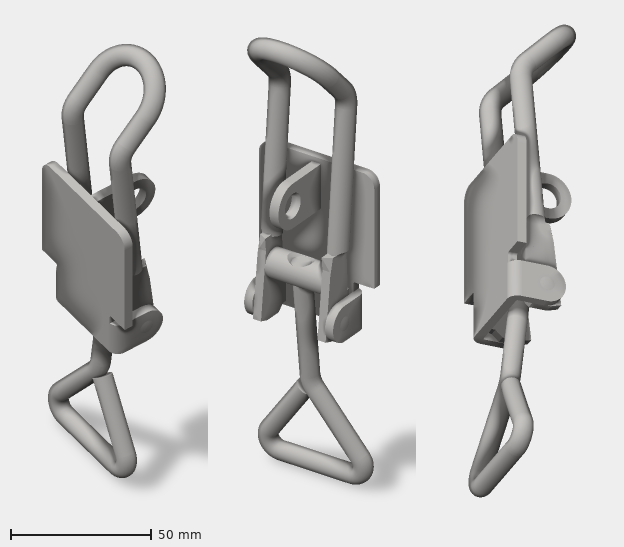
import cadquery as cq
import math

total_height = 185.0

sheet = 3.5
plate_width = 50.0
plate_top = 64.2
plate_bottom = 18.5
plate_corner_radius = 5.2
neck_width = 31.8
neck_corner_radius = 1.0
ear_span = 38.5
ear_height = 14.5
ear_radius = ear_height / 2
ear_reach = 21.0
fold_inner_radius = 0.5
fold_outer_radius = fold_inner_radius + sheet
ear_inner_x = ear_span / 2 - sheet

lug_thickness = 3.9
lug_radius = 9.0
lug_hole_radius = 5.0
lug_eye_y = 21.3
lug_eye_z = 53.1

rivet_radius = 2.8
rivet_y = ear_reach - ear_radius
rivet_z = ear_radius
rivet_dome = 0.2

pivot_y = 12.5
pivot_z = 22.0
barrel_radius = 5.7
trunnion_radius = 2.8
countersink_radius = 5.4

wire_radius = 8.0 / 2
leg_spacing = 28.7
loop_radius = leg_spacing / 2
leg_end = (11.0, 32.7)
leg_bend = (5.4, 95.3)
loop_apex = (27.0, 117.7)
leg_bend_radius = 9.3
cheek_outer_x = ear_inner_x
cheek_thickness = sheet
cheek_inner_x = cheek_outer_x - cheek_thickness
cheek_outline = [
    (18.1, 33.9),
    (17.5, 28.7),
    (20.7, 1.5),
    (16.7, 0.2),
    (9.6, 0.2),
    (6.8, 2.8),
    (6.8, 18.5),
    (7.5, 33.9),
]
cheek_bevel_width = 2.0
cheek_bevel_height = 8.3
shoulder_z = 35.0
shoulder_radius = 2.2
tab_front = 4.8
tab_back = 7.2
tab_top = 16.7
tab_bottom = 2.8
tab_width = cheek_thickness
tab_fold_radius = 2.2

rod_radius = 3.7
rod_tilt = 6.4
rod_top = barrel_radius - (countersink_radius - rod_radius)
apex_drop = 47.2
bar_z = loop_apex[1] + wire_radius - total_height + rod_radius
bar_drop = (pivot_z - bar_z) / math.cos(math.radians(rod_tilt))
handle_half_angle = 36.2
handle_bend_radius = 5.2
apex_bend_radius = 10.2


shortest_line = 1.85e-06


def bent_wire(corners, bend_radii, radius):
    """Round wire along straight lines between corners, with an arc at each inner corner."""
    points = [cq.Vector(corner) for corner in corners]
    edges = []
    start = points[0]
    for before, corner, after, bend in zip(points, points[1:], points[2:], bend_radii):
        back = (before - corner).normalized()
        ahead = (after - corner).normalized()
        half_angle = back.getAngle(ahead) / 2
        tangent_length = bend / math.tan(half_angle)
        arc_start = corner + back * tangent_length
        arc_end = corner + ahead * tangent_length
        arc_depth = bend / math.sin(half_angle) - bend
        arc_middle = corner + (back + ahead).normalized() * arc_depth
        if (arc_start - start).Length > shortest_line:
            edges.append(cq.Edge.makeLine(start, arc_start))
        edges.append(cq.Edge.makeThreePointArc(arc_start, arc_middle, arc_end))
        start = arc_end
    if (points[-1] - start).Length > shortest_line:
        edges.append(cq.Edge.makeLine(start, points[-1]))
    path = cq.Workplane(cq.Wire.assembleEdges(edges))
    end_plane = cq.Plane(origin=points[0].toTuple(), normal=(points[1] - points[0]).toTuple())
    return cq.Workplane(end_plane).circle(radius).sweep(path)


def cylinder_along_x(radius, x_start, x_end, y, z):
    return cq.Workplane("YZ", origin=(x_start, y, z)).circle(radius).extrude(x_end - x_start)


def block(x_range, y_range, z_range):
    """Box between the given limits."""
    corner = (x_range[0], y_range[0], z_range[0])
    size = [limits[1] - limits[0] for limits in (x_range, y_range, z_range)]
    return cq.Workplane().box(*size, centered=False).translate(corner)


def make_base():
    wide = block((-plate_width / 2, plate_width / 2), (0, sheet), (plate_bottom, plate_top))
    wide = wide.edges("|Y and >Z").fillet(plate_corner_radius)
    neck = block((-neck_width / 2, neck_width / 2), (0, sheet), (ear_height, plate_bottom))
    plate = wide.union(neck)
    for side in (-1, 1):
        notch_corner = cq.selectors.NearestToPointSelector((side * neck_width / 2, sheet / 2, plate_bottom))
        plate = plate.edges(notch_corner).fillet(neck_corner_radius)

    channel = block((-ear_span / 2, ear_span / 2), (0, ear_reach), (0, ear_height))
    channel = channel.edges("|Z and <Y").fillet(fold_outer_radius)
    inside = block((-ear_inner_x, ear_inner_x), (sheet, ear_reach), (0, ear_height))
    inside = inside.edges("|Z and <Y").fillet(fold_inner_radius)
    ear_profile = (
        cq.Workplane("YZ", origin=(-ear_span / 2, 0, 0))
        .lineTo(rivet_y, 0)
        .threePointArc((ear_reach, rivet_z), (rivet_y, ear_height))
        .lineTo(0, ear_height)
        .close()
        .extrude(ear_span)
    )
    channel = channel.cut(inside).intersect(ear_profile)
    rivet_holes = cylinder_along_x(rivet_radius, -ear_span, ear_span, rivet_y, rivet_z)
    return plate.union(channel).cut(rivet_holes)


def make_lug():
    return (
        cq.Workplane("YZ", origin=(-lug_thickness / 2, 0, 0))
        .moveTo(sheet, lug_eye_z - lug_radius)
        .lineTo(lug_eye_y, lug_eye_z - lug_radius)
        .threePointArc((lug_eye_y + lug_radius, lug_eye_z), (lug_eye_y, lug_eye_z + lug_radius))
        .lineTo(sheet, lug_eye_z + lug_radius)
        .close()
        .extrude(lug_thickness)
        .cut(cylinder_along_x(lug_hole_radius, -lug_thickness, lug_thickness, lug_eye_y, lug_eye_z))
    )


def make_cheek():
    """Flattened end of the lever on the +X side, with its tab and its two pivot holes."""
    cheek = (
        cq.Workplane("YZ", origin=(cheek_inner_x, 0, 0))
        .polyline(cheek_outline)
        .close()
        .extrude(cheek_thickness)
    )
    top_y, top_z = cheek_outline[0]
    bevel_tip = cq.Vector(cheek_outer_x, top_y, top_z - cheek_bevel_height)
    top_outer = cq.Vector(cheek_outer_x, top_y - cheek_bevel_width, top_z)
    top_inner = cq.Vector(cheek_inner_x, top_y, top_z)
    bevel_normal = (top_outer - bevel_tip).cross(top_inner - bevel_tip)
    if bevel_normal.x < 0:
        bevel_normal = bevel_normal * -1
    bevel_plane = cq.Plane(origin=bevel_tip.toTuple(), normal=bevel_normal.toTuple())
    bevel_size = 3 * cheek_bevel_height
    cheek = cheek.cut(cq.Workplane(bevel_plane).rect(bevel_size, bevel_size).extrude(bevel_size))

    tab = block(
        (cheek_outer_x - tab_width, cheek_outer_x), (tab_front, tab_back), (tab_bottom, tab_top)
    )
    tab = tab.edges("|Z and >X and <Y").fillet(tab_fold_radius)
    cheek = cheek.union(tab)
    cheek = cheek.cut(cylinder_along_x(rivet_radius, 0, ear_span, rivet_y, rivet_z))
    return cheek.cut(cylinder_along_x(trunnion_radius, 0, ear_span, pivot_y, pivot_z))


def make_lever():
    left_leg = [(-loop_radius, *point) for point in (leg_end, leg_bend, loop_apex)]
    right_leg = [(loop_radius, *point) for point in (loop_apex, leg_bend, leg_end)]
    bends = [leg_bend_radius, loop_radius, loop_radius, leg_bend_radius]
    loop = bent_wire(left_leg + right_leg, bends, wire_radius)
    flattening = block((cheek_outer_x, plate_width), (-plate_width, plate_width), (0, shoulder_z))
    flattening = flattening.edges("|Y and <X and >Z").fillet(shoulder_radius)
    cheek = make_cheek()
    return (
        loop.cut(flattening)
        .cut(flattening.mirror("YZ"))
        .union(cheek)
        .union(cheek.mirror("YZ"))
    )


def make_rivet(side):
    """Domed rivet through one ear and one cheek; side is -1 or 1."""
    head_x = ear_span / 2
    rivet = (
        cq.Workplane("XY")
        .moveTo(cheek_inner_x, 0)
        .lineTo(head_x + rivet_dome, 0)
        .threePointArc((head_x + 0.75 * rivet_dome, rivet_radius / 2), (head_x, rivet_radius))
        .lineTo(cheek_inner_x, rivet_radius)
        .close()
        .revolve(360, (0, 0, 0), (1, 0, 0))
        .translate((0, rivet_y, rivet_z))
    )
    return rivet if side > 0 else rivet.mirror("YZ")


def tilt_to_rod(body):
    """Move a body drawn about the origin to the pivot and lean it with the rod."""
    return body.rotate((0, 0, 0), (1, 0, 0), -rod_tilt).translate((0, pivot_y, pivot_z))


def make_barrel():
    barrel = cylinder_along_x(barrel_radius, -cheek_inner_x, cheek_inner_x, 0, 0)
    barrel = barrel.union(cylinder_along_x(trunnion_radius, -cheek_outer_x, cheek_outer_x, 0, 0))
    rod_hole = cq.Workplane("XY").circle(rod_radius).extrude(4 * barrel_radius, both=True)
    countersink = (
        cq.Workplane("XY", origin=(0, 0, rod_top))
        .circle(rod_radius)
        .workplane(offset=barrel_radius - rod_top)
        .circle(countersink_radius)
        .loft()
    )
    return tilt_to_rod(barrel.cut(rod_hole).cut(countersink))


def make_pull_rod():
    """One wire bent from the shank into a triangle, its end joined to the bend at the apex."""
    half_angle = math.radians(handle_half_angle)
    corner_angle = math.radians(90 - handle_half_angle)
    corner_x = (bar_drop - apex_drop) * math.tan(half_angle)
    shank_top = cq.Vector(0, 0, rod_top)
    apex = cq.Vector(0, 0, -apex_drop)
    left_corner = cq.Vector(-corner_x, 0, -bar_drop)
    right_corner = cq.Vector(corner_x, 0, -bar_drop)
    along_last_arm = (apex - right_corner).normalized()
    arm_start = right_corner + along_last_arm * (handle_bend_radius / math.tan(corner_angle / 2))
    arm_end = apex - along_last_arm * (apex_bend_radius * math.tan(half_angle / 2))

    corners = [shank_top, apex, left_corner, right_corner, arm_start]
    bends = [apex_bend_radius, handle_bend_radius, handle_bend_radius]
    bent_part = bent_wire(corners, bends, rod_radius)
    arm_plane = cq.Plane(origin=arm_start.toTuple(), normal=along_last_arm.toTuple())
    last_arm = cq.Workplane(arm_plane).circle(rod_radius).extrude((arm_end - arm_start).Length)
    return tilt_to_rod(bent_part.union(last_arm))


base = make_base()
lug = make_lug()
lever = make_lever()
rivets = [make_rivet(side) for side in (-1, 1)]
barrel = make_barrel()
pull_rod = make_pull_rod()

result = cq.Compound.makeCompound([
    base.val(),
    lug.val(),
    lever.val(),
    *[rivet.val() for rivet in rivets],
    barrel.val(),
    pull_rod.val(),
])